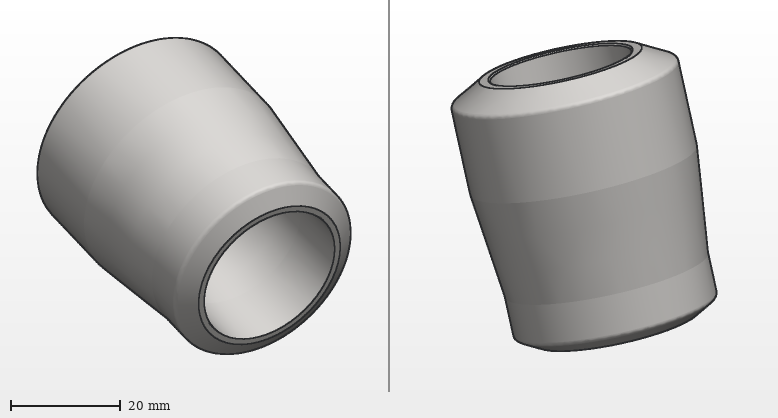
import cadquery as cq
import math

length = 50.0
wide_radius = 42.4 / 2
narrow_radius = 38.0 / 2
end_face_radius = 15.2
bevel_angle = 30.0
edge_round = 1.0

taper_start = 20.0
taper_end = 40.0

bore_land = 11.8
wide_end_bore_radius = 26.4 / 2
narrow_end_bore_radius = 28.0 / 2
bore_chamfer = 0.3

bevel_slope = math.tan(math.radians(bevel_angle))
wide_bevel_length = (wide_radius - end_face_radius) * bevel_slope
narrow_bevel_length = (narrow_radius - end_face_radius) * bevel_slope


def rim_at(x):
    """Select the circular edges lying in the plane at this X."""
    margin = 0.005
    return cq.selectors.BoxSelector(
        (x - margin, -length, -length), (x + margin, length, length), boundingbox=True
    )


half_section = (
    cq.Workplane("XY")
    .moveTo(0, end_face_radius)
    .lineTo(wide_bevel_length, wide_radius)
    .lineTo(taper_start, wide_radius)
    .lineTo(taper_end, narrow_radius)
    .lineTo(length - narrow_bevel_length, narrow_radius)
    .lineTo(length, end_face_radius)
    .lineTo(length, narrow_end_bore_radius)
    .lineTo(length - bore_land, narrow_end_bore_radius)
    .lineTo(bore_land, wide_end_bore_radius)
    .lineTo(bore_chamfer, wide_end_bore_radius)
    .lineTo(0, wide_end_bore_radius + bore_chamfer)
    .close()
)
sleeve = half_section.revolve(360, (0, 0, 0), (1, 0, 0))

for rim_x in (wide_bevel_length, length - narrow_bevel_length):
    sleeve = sleeve.edges(rim_at(rim_x)).fillet(edge_round)

result = sleeve